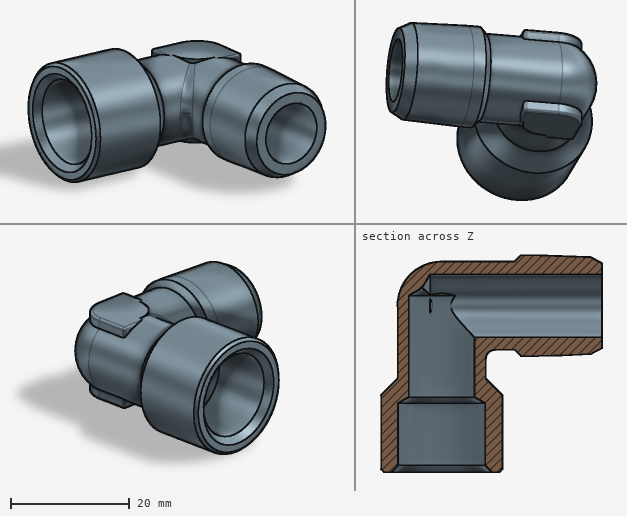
import cadquery as cq
import math

neck_radius = 7.45
inner_corner_radius = 1.5

female_radius = 10.25
female_end = 28.0
female_neck_end = 12.2
female_cone_end = female_neck_end + female_radius - neck_radius
female_rim_radius = 9.72
female_rim_chamfer = 0.55

male_radius = 8.53
male_end = 27.0
male_neck_end = 12.25
male_cone_end = male_neck_end + male_radius - neck_radius
male_taper_start = 15.45
male_taper_end = 25.05
male_taper_radius = 8.2
male_tip_radius = 7.15

thread_bore_radius = 7.3
thread_entry_radius = 8.45
thread_bore_end = 16.4
female_passage_radius = 5.5
male_passage_radius = 5.3
female_passage_overrun = 1.7
male_passage_overrun = 1.95
drill_tip_slope = math.tan(math.radians(30))

pad_radius = 4.95
pad_reach = 6.05
pad_bottom = 5.6
pad_fillet = 0.5


def turned(profile):
    """Revolve (distance, radius) points around the X axis."""
    return cq.Workplane("XY").polyline(profile).close().revolve(360, (0, 0, 0), (1, 0, 0))


def along_female_run(body):
    """Turn a body from the +X direction to the -Y direction."""
    return body.rotate((0, 0, 0), (0, 0, 1), -90)


def elbow():
    """Two necks joined by a ball, with the inside corner rounded."""
    male_neck = cq.Workplane("YZ").circle(neck_radius).extrude(male_neck_end)
    female_neck = cq.Workplane("XZ").circle(neck_radius).extrude(female_neck_end)
    necks = male_neck.union(female_neck).union(cq.Workplane("XY").sphere(neck_radius))
    seam_x = neck_radius / 2
    seam = cq.selectors.BoxSelector(
        (seam_x / 2, -neck_radius, -neck_radius), (neck_radius, -seam_x / 2, neck_radius)
    )
    return necks.edges(seam).fillet(inner_corner_radius)


def male_collar():
    return turned([
        (male_neck_end, 0),
        (male_neck_end, neck_radius),
        (male_cone_end, male_radius),
        (male_taper_start, male_radius),
        (male_taper_end, male_taper_radius),
        (male_end, male_tip_radius),
        (male_end, 0),
    ])


def female_collar():
    return along_female_run(turned([
        (female_neck_end, 0),
        (female_neck_end, neck_radius),
        (female_cone_end, female_radius),
        (female_end - female_rim_chamfer, female_radius),
        (female_end, female_rim_radius),
        (female_end, 0),
    ]))


def upper_pad():
    """Pad with rounded outer edges, cut back to a round corner on the inside of the elbow."""
    height = neck_radius - pad_bottom
    base = cq.Workplane("XY").workplane(offset=pad_bottom)
    arc_offset = pad_radius * math.sqrt(0.5)
    block = (
        base.moveTo(pad_reach, -pad_reach)
        .lineTo(pad_reach, pad_radius)
        .lineTo(0, pad_radius)
        .threePointArc((-arc_offset, arc_offset), (-pad_radius, 0))
        .lineTo(-pad_radius, -pad_reach)
        .close()
        .extrude(height)
        .edges("|Z and (>X or <Y)")
        .fillet(pad_fillet)
        .faces(">Z")
        .edges()
        .fillet(pad_fillet)
    )
    inner_corner = base.rect(pad_reach, -pad_reach, centered=False).extrude(height)
    return block.cut(inner_corner.cut(base.circle(pad_radius).extrude(height)))


def female_bore():
    entry_depth = thread_entry_radius - thread_bore_radius
    shoulder = (thread_bore_radius - female_passage_radius) * drill_tip_slope
    return along_female_run(turned([
        (-female_passage_overrun - female_passage_radius * drill_tip_slope, 0),
        (-female_passage_overrun, female_passage_radius),
        (thread_bore_end - shoulder, female_passage_radius),
        (thread_bore_end, thread_bore_radius),
        (female_end - entry_depth, thread_bore_radius),
        (female_end, thread_entry_radius),
        (female_end, 0),
    ]))


def male_bore():
    return turned([
        (-male_passage_overrun - male_passage_radius * drill_tip_slope, 0),
        (-male_passage_overrun, male_passage_radius),
        (male_end, male_passage_radius),
        (male_end, 0),
    ])


body = elbow().union(male_collar()).union(female_collar())
pad = upper_pad()
body = body.union(pad).union(pad.mirror("XY"))
result = body.cut(female_bore()).cut(male_bore())